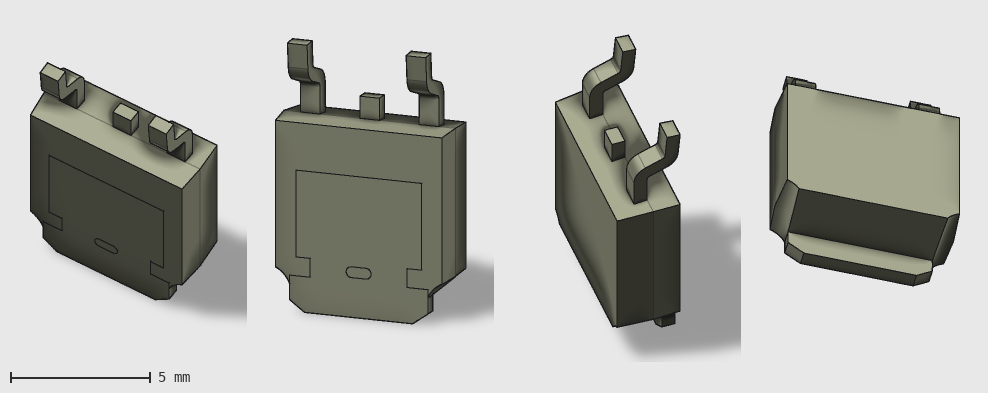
import cadquery as cq
import math


housing_width = 6.6
housing_depth = 2.4
housing_top = 7.11
parting_y = 1.06
draft = math.tan(math.radians(5))
bottom_at_tab_back = 1.02
corner_cut_radius = 1.0
corner_cut_x = 3.6
corner_cut_z = 0.66

tab_thickness = 0.5
tab_width = 5.33
tab_chamfer_x = 0.585
tab_chamfer_z = 0.42
pad_width = 4.84
pad_top = 5.25
notch_bottom = 1.33
notch_top = 2.03
neck_width = 3.74
lock_slot_length = 0.96
lock_slot_width = 0.4
lock_slot_z = 1.68

lead_width = 0.76
lead_thickness = 0.5
lead_pitch = 2.286
lead_y = parting_y + lead_thickness / 2
trim_allowance = 0.5
lead_root = housing_top - trim_allowance
middle_lead_top = 7.93
bend_inner_radius = 0.15
bend_outer_radius = bend_inner_radius + lead_thickness
first_bend_z = 8.426
slant_length = 1.234
slant_angle = math.radians(70)
tip_length = 1.164
tip_angle = math.radians(5)


def housing_half(far_y):
    """One drafted half of the housing, from the parting plane to the flat face at far_y."""
    inset = abs(far_y - parting_y) * draft

    def section(y, shrink):
        half_width = housing_width / 2 - shrink
        bottom = bottom_at_tab_back + (y - tab_thickness) * draft
        top = housing_top - shrink
        corners = [(-half_width, bottom), (half_width, bottom), (half_width, top), (-half_width, top)]
        return cq.Wire.makePolygon([cq.Vector(x, y, z) for x, z in corners], close=True)

    return cq.Workplane(cq.Solid.makeLoft([section(parting_y, 0), section(far_y, inset)], True))


def corner_cutters():
    """Two round cutters along Y that hollow the bottom corners."""
    return (
        cq.Workplane("XZ")
        .pushPoints([(-corner_cut_x, corner_cut_z), (corner_cut_x, corner_cut_z)])
        .circle(corner_cut_radius)
        .extrude(-housing_depth)
    )


def make_tab():
    """Flat tab with a chamfered free end, a notched neck, a pad and a mold-lock slot."""
    right_edge = [
        (tab_width / 2 - tab_chamfer_x, 0),
        (tab_width / 2, tab_chamfer_z),
        (tab_width / 2, notch_bottom),
        (neck_width / 2, notch_bottom),
        (neck_width / 2, notch_top),
        (pad_width / 2, notch_top),
        (pad_width / 2, pad_top),
    ]
    left_edge = [(-x, z) for x, z in reversed(right_edge)]
    plate = cq.Workplane("XZ").polyline(right_edge + left_edge).close().extrude(-tab_thickness)
    slot = (
        cq.Workplane("XZ")
        .center(0, lock_slot_z)
        .slot2D(lock_slot_length, lock_slot_width)
        .extrude(-tab_thickness)
    )
    return plate.cut(slot)


def make_housing(tab):
    """Molded housing, recessed for the tab and filling its notches and slot."""
    block = housing_half(0).union(housing_half(housing_depth))
    return block.cut(corner_cutters()).cut(tab)


def offset_outline(path, distance):
    """Points of an open path shifted sideways by distance, with mitred corners."""
    headings = [math.atan2(b[1] - a[1], b[0] - a[0]) for a, b in zip(path, path[1:])]
    before = headings[:1] + headings
    after = headings + headings[-1:]
    shifted = []
    for (y, z), h_in, h_out in zip(path, before, after):
        middle = (h_in + h_out) / 2
        reach = distance / math.cos((h_out - h_in) / 2)
        shifted.append((y - reach * math.sin(middle), z + reach * math.cos(middle)))
    return shifted


def make_bent_lead(x, housing):
    """Outer lead: rises from the housing, slants forward, then turns up again."""
    knee = (lead_y, first_bend_z)
    elbow = (
        knee[0] - slant_length * math.sin(slant_angle),
        knee[1] + slant_length * math.cos(slant_angle),
    )
    tip = (
        elbow[0] - tip_length * math.sin(tip_angle),
        elbow[1] + tip_length * math.cos(tip_angle),
    )
    path = [(lead_y, lead_root), knee, elbow, tip]
    front = offset_outline(path, lead_thickness / 2)
    back = offset_outline(path, -lead_thickness / 2)
    lead = (
        cq.Workplane("YZ", origin=(x - lead_width / 2, 0, 0))
        .polyline(front + back[::-1])
        .close()
        .extrude(lead_width)
    )
    inner_corners = [front[1], back[2]]
    outer_corners = [back[1], front[2]]
    for corners, radius in ((inner_corners, bend_inner_radius), (outer_corners, bend_outer_radius)):
        for y, z in corners:
            lead = lead.edges(cq.NearestToPointSelector((x, y, z))).fillet(radius)
    return lead.cut(housing)


def make_middle_lead(housing):
    """Short straight lead, cropped just above the housing."""
    length = middle_lead_top - lead_root
    lead = (
        cq.Workplane("XY", origin=(0, lead_y, lead_root))
        .rect(lead_width, lead_thickness)
        .extrude(length)
    )
    return lead.cut(housing)


tab = make_tab()
housing = make_housing(tab)
middle_lead = make_middle_lead(housing)
bent_leads = [make_bent_lead(x, housing) for x in (-lead_pitch, lead_pitch)]

result = cq.Compound.makeCompound(
    [housing.val(), tab.val(), middle_lead.val(), *[lead.val() for lead in bent_leads]]
)